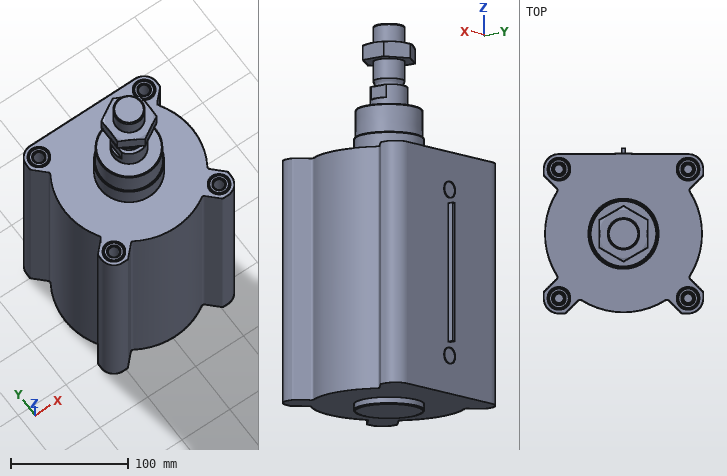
import cadquery as cq
import math

barrel_length = 210.5
barrel_radius = 67.0
half_side = 68.0
bolt_offset = 55.0
lobe_radius = half_side - bolt_offset
lobe_corner_fillet = 2.0
valley_fillet = 2.3

collar_radius = 30.0
front_collar_height = 21.0
back_collar_height = 6.0
collar_chamfer = 1.0
nose_height = 24.5
nose_base_radius = 29.0
nose_top_radius = 28.6
nose_chamfer = 0.8
nose_top = barrel_length + front_collar_height + nose_height

groove_diameter = 18.0
groove_outer_diameter = 19.6
groove_depth = (groove_outer_diameter - groove_diameter) / 2
thread_core_diameter = 10.11
thread_mouth_diameter = 12.0
thread_chamfer = (thread_mouth_diameter - thread_core_diameter) / 2
thread_depth = 24.0
pilot_diameter = 8.0
pilot_depth = 30.0

rail_width = 3.0
rail_height = 5.0
rail_end_gap = 45.0
rail_length = barrel_length - 2 * rail_end_gap
pad_diameter = 14.0
pad_height = 0.6
pad_end_gap = 33.0

rod_radius = 16.0
rod_top = barrel_length + 118.5
rod_shoulder = rod_top - 53.5
rod_seat = barrel_length
flats_across = 27.0
flats_height = 11.3
thread_radius = 13.5
thread_length = 47.7
thread_runout = 2.5
neck_radius = 24.84 / 2
neck_groove_radius = 24.3 / 2
neck_groove_taper = 1.0
tip_radius = neck_radius
tip_chamfer = thread_radius - tip_radius

nut_across_flats = 41.0
nut_thickness = 13.5
nut_top = rod_top - 17.2
nut_chamfer_height = 1.0


def corner_lobe():
    """Lobe at the +X +Y corner: round outside, with a 45 degree web running to the axis."""
    web_shift = lobe_radius * math.sqrt(2)
    corner = half_side - web_shift
    round_mid = bolt_offset + lobe_radius / math.sqrt(2)
    return (
        cq.Workplane("XY")
        .moveTo(web_shift, 0)
        .lineTo(half_side, corner)
        .lineTo(half_side, bolt_offset)
        .threePointArc((round_mid, round_mid), (bolt_offset, half_side))
        .lineTo(corner, half_side)
        .lineTo(0, web_shift)
        .close()
        .extrude(barrel_length)
        .edges(cq.selectors.NearestToPointSelector((half_side, corner, barrel_length / 2)))
        .fillet(lobe_corner_fillet)
        .edges(cq.selectors.NearestToPointSelector((corner, half_side, barrel_length / 2)))
        .fillet(lobe_corner_fillet)
    )


def make_barrel():
    tube = cq.Workplane("XY").circle(barrel_radius).extrude(barrel_length)
    barrel = tube.rotate((0, 0, 0), (0, 0, 1), 45)
    for quarter in range(4):
        barrel = barrel.union(corner_lobe().rotate((0, 0, 0), (0, 0, 1), 90 * quarter))
    flat_side = (
        cq.Workplane("XY")
        .center(0, (bolt_offset + half_side) / 2)
        .rect(2 * bolt_offset, lobe_radius)
        .extrude(barrel_length)
    )
    barrel = barrel.union(flat_side)

    valleys = barrel.edges("|Z").filter(
        lambda edge: abs(math.hypot(edge.Center().x, edge.Center().y) - barrel_radius) < 0.01
    )
    return valleys.fillet(valley_fillet)


def make_collars():
    front_collar_top = barrel_length + front_collar_height
    return (
        cq.Workplane("XZ")
        .moveTo(0, -back_collar_height)
        .lineTo(collar_radius - collar_chamfer, -back_collar_height)
        .lineTo(collar_radius, collar_chamfer - back_collar_height)
        .lineTo(collar_radius, front_collar_top - collar_chamfer)
        .lineTo(nose_base_radius, front_collar_top)
        .lineTo(nose_top_radius, nose_top - nose_chamfer)
        .lineTo(nose_top_radius - nose_chamfer, nose_top)
        .lineTo(0, nose_top)
        .close()
        .revolve(360, (0, 0), (0, 1))
    )


def corner_socket():
    """Cutter for one threaded socket and its ring groove, with its mouth at z = 0."""
    core_radius = thread_core_diameter / 2
    socket = (
        cq.Workplane("XZ")
        .moveTo(0, 0)
        .lineTo(thread_mouth_diameter / 2, 0)
        .lineTo(core_radius, -thread_chamfer)
        .lineTo(core_radius, -thread_depth)
        .lineTo(pilot_diameter / 2, -thread_depth)
        .lineTo(pilot_diameter / 2, -pilot_depth)
        .lineTo(0, -pilot_depth)
        .close()
        .revolve(360, (0, 0), (0, 1))
    )
    groove_radius = groove_diameter / 2
    groove = (
        cq.Workplane("XZ")
        .moveTo(groove_radius - groove_depth, 0)
        .lineTo(groove_radius, -groove_depth)
        .lineTo(groove_radius + groove_depth, 0)
        .close()
        .revolve(360, (0, 0), (0, 1))
    )
    return socket.add(groove).combine()


def side_details():
    """Rail and port pads standing on the flat +Y side."""
    rail = cq.Workplane("XY").box(rail_width, rail_height, rail_length, centered=(True, False, False))
    details = rail.translate((0, half_side, rail_end_gap))
    for pad_z in (pad_end_gap, barrel_length - pad_end_gap):
        pad = cq.Workplane("XZ").circle(pad_diameter / 2).extrude(-pad_height)
        details = details.add(pad.translate((0, half_side, pad_z)))
    return details.combine()


def make_housing():
    housing = make_barrel().union(make_collars()).union(side_details())
    for x in (-bolt_offset, bolt_offset):
        for y in (-bolt_offset, bolt_offset):
            housing = housing.cut(corner_socket().translate((x, y, barrel_length)))
    rod_bore = cq.Workplane("XY").workplane(offset=rod_seat).circle(rod_radius).extrude(nose_top - rod_seat)
    return housing.cut(rod_bore)


def make_rod():
    thread_end = rod_top - thread_length
    neck_top = thread_end - thread_runout
    rod = (
        cq.Workplane("XZ")
        .moveTo(0, rod_seat)
        .lineTo(rod_radius, rod_seat)
        .lineTo(rod_radius, rod_shoulder)
        .lineTo(neck_radius, rod_shoulder)
        .lineTo(neck_groove_radius, rod_shoulder + neck_groove_taper)
        .lineTo(neck_groove_radius, neck_top - neck_groove_taper)
        .lineTo(neck_radius, neck_top)
        .lineTo(thread_radius, thread_end)
        .lineTo(thread_radius, rod_top - tip_chamfer)
        .lineTo(tip_radius, rod_top)
        .lineTo(0, rod_top)
        .close()
        .revolve(360, (0, 0), (0, 1))
    )
    flat_cut_depth = rod_radius - flats_across / 2
    flat_cut_x = (rod_radius + flats_across / 2) / 2
    for side in (-1, 1):
        flat_cut = cq.Workplane("XY").box(
            flat_cut_depth, 2 * rod_radius, flats_height, centered=(True, True, False)
        )
        rod = rod.cut(flat_cut.translate((side * flat_cut_x, 0, rod_shoulder - flats_height)))
    return rod


def make_nut():
    corner_radius = nut_across_flats / math.sqrt(3)
    rim_radius = nut_across_flats / 2
    nut_bottom = nut_top - nut_thickness
    hexagon = (
        cq.Workplane("XY")
        .workplane(offset=nut_bottom)
        .polygon(6, 2 * corner_radius)
        .extrude(nut_thickness)
        .rotate((0, 0, 0), (0, 0, 1), 90)
    )
    blank = (
        cq.Workplane("XZ")
        .moveTo(thread_radius, nut_bottom)
        .lineTo(corner_radius, nut_bottom)
        .lineTo(corner_radius, nut_top - nut_chamfer_height)
        .lineTo(rim_radius, nut_top)
        .lineTo(thread_radius, nut_top)
        .close()
        .revolve(360, (0, 0), (0, 1))
    )
    return hexagon.intersect(blank)


housing = make_housing()
rod = make_rod()
nut = make_nut()

result = cq.Compound.makeCompound([*housing.solids().vals(), *rod.solids().vals(), *nut.solids().vals()])